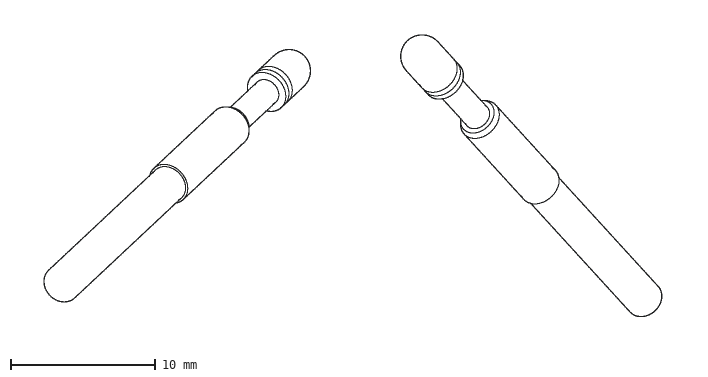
import cadquery as cq
import math

head_diameter = 3.0
sleeve_diameter = head_diameter
stem_diameter = 1.9
barrel_diameter = 2.65

total_length = 37.3
groove_start = 4.0
groove_end = 4.5
head_end = 5.0
sleeve_start = 10.3
sleeve_end = 20.25

groove_depth = 0.25
groove_fillet = 0.1

sleeve_taper_length = 0.4
sleeve_taper_depth = 0.2
barrel_fillet = 0.4

tip_y = total_length / 2


def rod(diameter, start, end):
    """Cylinder on the Y axis between two distances from the domed tip."""
    plane = cq.Workplane("XZ", origin=(0, tip_y - start, 0))
    return plane.circle(diameter / 2).extrude(end - start)


def domed_head():
    """Cylinder with a hemispherical tip."""
    radius = head_diameter / 2
    dome_end_y = tip_y - radius
    head_end_y = tip_y - head_end
    half_way = radius * math.sqrt(0.5)
    profile = (
        cq.Workplane("XY")
        .moveTo(0, tip_y)
        .threePointArc((half_way, dome_end_y + half_way), (radius, dome_end_y))
        .lineTo(radius, head_end_y)
        .lineTo(0, head_end_y)
        .close()
    )
    return profile.revolve(360, (0, 0, 0), (0, 1, 0))


def head_groove():
    """Ring to cut from the head, rounded where its walls meet its floor."""
    floor_diameter = head_diameter - 2 * groove_depth
    ring = rod(head_diameter, groove_start, groove_end).cut(rod(floor_diameter, groove_start, groove_end))
    floor_edges = ring.edges(cq.selectors.RadiusNthSelector(0))
    return floor_edges.fillet(groove_fillet)


def tapered_sleeve():
    """Sleeve with a shallow taper at the end facing the head."""
    radius = sleeve_diameter / 2
    start_y = tip_y - sleeve_start
    end_y = tip_y - sleeve_end
    profile = (
        cq.Workplane("XY")
        .moveTo(0, start_y)
        .lineTo(radius - sleeve_taper_depth, start_y)
        .lineTo(radius, start_y - sleeve_taper_length)
        .lineTo(radius, end_y)
        .lineTo(0, end_y)
        .close()
    )
    return profile.revolve(360, (0, 0, 0), (0, 1, 0))


head = domed_head().cut(head_groove())
stem = rod(stem_diameter, head_end, sleeve_start)
barrel = rod(barrel_diameter, sleeve_end, total_length).faces("<Y").edges().fillet(barrel_fillet)

result = head.union(stem).union(tapered_sleeve()).union(barrel)